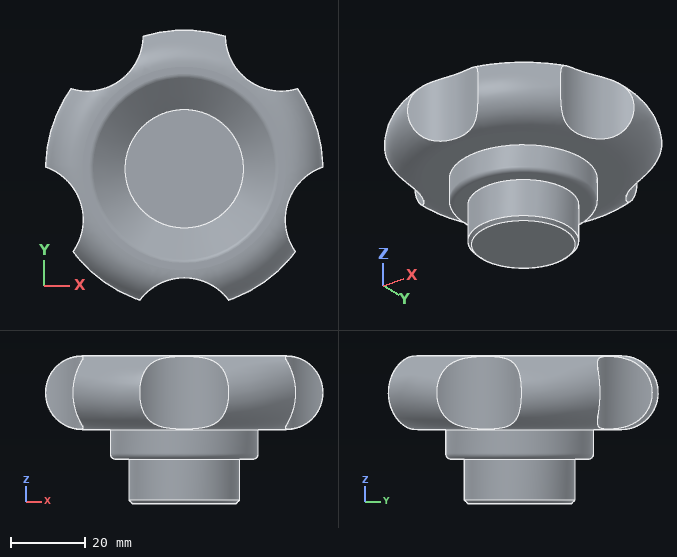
import cadquery as cq
import math

total_height = 40.0
rim_height = 20.0
rim_radius = 37.5
edge_radius = rim_height / 2
rim_flat_radius = rim_radius - edge_radius
rim_bottom = total_height - rim_height
rim_middle = rim_bottom + edge_radius

collar_radius = 20.0
collar_height = 8.0
collar_bottom = rim_bottom - collar_height
collar_fillet = 1.5
stem_radius = 15.0
stem_chamfer = 1.0

dish_mouth_radius = 25.0
dish_floor_radius = 16.0
dish_depth = 7.5
dish_floor = total_height - dish_depth
lip_fillet = 1.5

scallop_count = 5
scallop_radius = 15.0
scallop_center_radius = 44.5
first_scallop_angle = -90.0
cutter_margin = 1.0


def knob_body():
    """Revolve the rim, hub and dish as one profile (radius, height)."""
    wall_slope = math.atan2(dish_depth, dish_mouth_radius - dish_floor_radius)
    lip_setback = lip_fillet * math.tan(wall_slope / 2)
    lip_outer = (dish_mouth_radius + lip_setback, total_height)
    lip_inner = (
        dish_mouth_radius - lip_setback * math.cos(wall_slope),
        total_height - lip_setback * math.sin(wall_slope),
    )
    profile = (
        cq.Workplane("XZ")
        .moveTo(0, 0)
        .lineTo(stem_radius - stem_chamfer, 0)
        .lineTo(stem_radius, stem_chamfer)
        .lineTo(stem_radius, collar_bottom)
        .lineTo(collar_radius - collar_fillet, collar_bottom)
        .radiusArc((collar_radius, collar_bottom + collar_fillet), -collar_fillet)
        .lineTo(collar_radius, rim_bottom)
        .lineTo(rim_flat_radius, rim_bottom)
        .threePointArc((rim_radius, rim_middle), (rim_flat_radius, total_height))
        .lineTo(*lip_outer)
        .radiusArc(lip_inner, -lip_fillet)
        .lineTo(dish_floor_radius, dish_floor)
        .lineTo(0, dish_floor)
        .close()
    )
    axis_start = (0, 0, 0)
    body = profile.revolve(360, axis_start, (0, 1, 0))
    return body.rotate(axis_start, (0, 0, 1), first_scallop_angle)


def scallop_cutters():
    """Vertical cylinders, evenly spaced, that bite into the rim."""
    step = 360 / scallop_count
    angles = [math.radians(first_scallop_angle + step * i) for i in range(scallop_count)]
    centers = [(scallop_center_radius * math.cos(a), scallop_center_radius * math.sin(a)) for a in angles]
    return (
        cq.Workplane("XY")
        .workplane(offset=rim_bottom - cutter_margin)
        .pushPoints(centers)
        .circle(scallop_radius)
        .extrude(rim_height + 2 * cutter_margin)
    )


result = knob_body().cut(scallop_cutters())